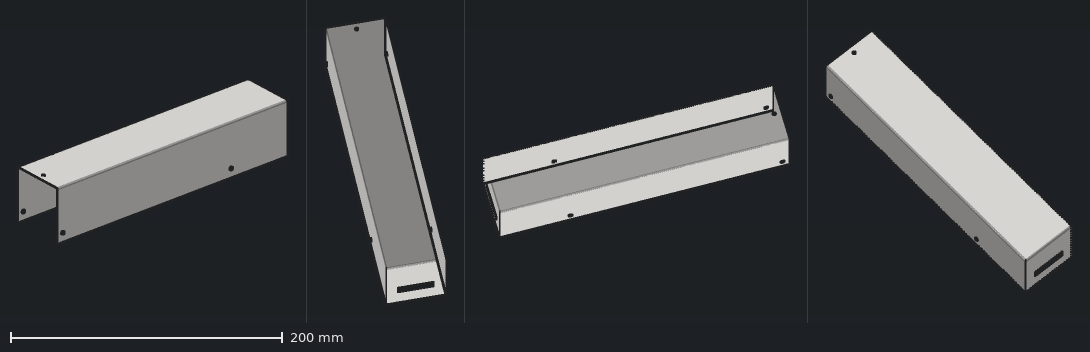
import cadquery as cq

width = 46.0
length = 222.0
height = 46.5

thickness = 0.8
bend_radius = 1.0

slot_width = 27.0
slot_height = 5.3
slot_center_height = 16.0

side_hole_diameter = 3.0
side_hole_height = 7.5
side_hole_front_inset = 5.3
side_hole_rear_inset = 54.8
top_hole_diameter = 2.5
top_hole_front_inset = 5.5

front_y = -length / 2
rear_y = length / 2


def make_shell():
    """Box with rounded top bends, hollowed from below and through the front end."""
    outer = (
        cq.Workplane("XY")
        .box(width, length, height, centered=(True, True, False))
        .edges("(|Y and >Z) or (>Y and >Z)")
        .fillet(bend_radius)
    )
    cavity = (
        cq.Workplane("XY")
        .box(width - 2 * thickness, length - thickness, height - thickness, centered=(True, True, False))
        .edges("(|Y and >Z) or (>Y and >Z)")
        .fillet(bend_radius - thickness)
        .translate((0, -thickness / 2, 0))
    )
    return outer.cut(cavity)


def end_slot():
    """Rectangular cutter through the rear wall only."""
    return cq.Workplane("XY").box(slot_width, 4 * thickness, slot_height).translate(
        (0, rear_y, slot_center_height)
    )


def side_hole(y):
    """Cylinder along X that pierces both side walls."""
    return (
        cq.Workplane("YZ")
        .center(y, side_hole_height)
        .circle(side_hole_diameter / 2)
        .extrude(width, both=True)
    )


def top_hole():
    """Vertical cylinder through the top sheet near the open end."""
    return (
        cq.Workplane("XY")
        .center(0, front_y + top_hole_front_inset)
        .circle(top_hole_diameter / 2)
        .extrude(2 * height)
    )


result = make_shell().cut(end_slot()).cut(top_hole())
for hole_y in (front_y + side_hole_front_inset, rear_y - side_hole_rear_inset):
    result = result.cut(side_hole(hole_y))